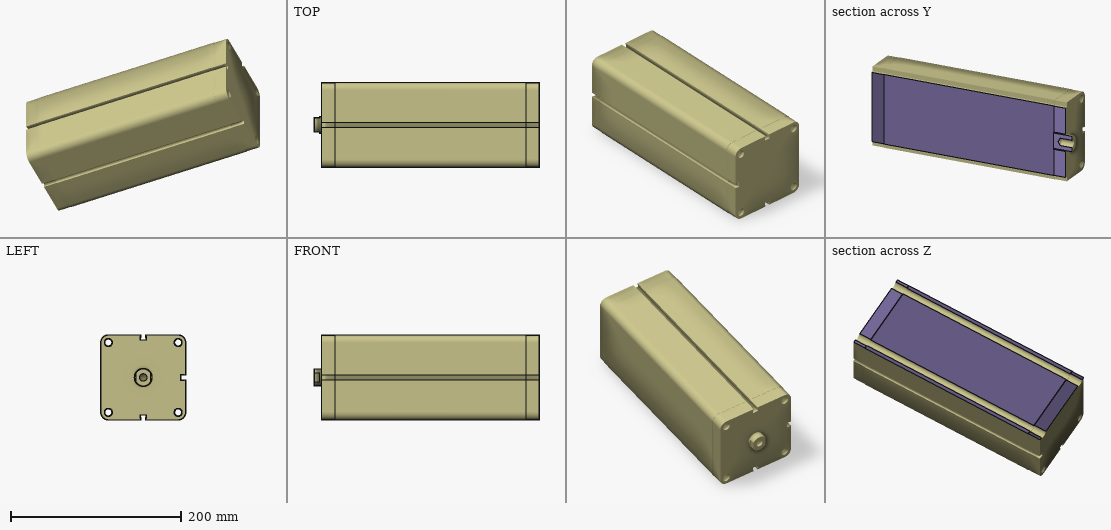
import cadquery as cq
import math

total_length = 264.5
barrel_side = 100.0
cap_side = 99.5
corner_radius = 9.0
cap_length = 16.0
rod_projection = 8.5
housing_length = total_length - rod_projection
barrel_length = housing_length - 2 * cap_length

barrel_start = cap_length
rear_cap_start = barrel_start + barrel_length

bolt_spacing = barrel_side - 2 * corner_radius
cap_bolt_diameter = 9.5
barrel_bolt_diameter = 8.2

slot_depth = 5.8
slot_mouth = 5.5
cap_slot_inner = 7.1
barrel_slot_inner = 6.0
cap_slot_lip = 1.9
barrel_slot_lip = 3.2

rod_diameter = 20.0
rod_bore_diameter = 21.2
rod_across_flats = 17.0
flat_length = 6.5
thread_hole_diameter = 8.7
thread_hole_depth = 16.0
drill_point_angle = 118


def square_block(start, length, width):
    """Square prism along X with rounded long edges."""
    return (
        cq.Workplane("YZ", origin=(start, 0, 0))
        .rect(width, width)
        .extrude(length)
        .edges("|X")
        .fillet(corner_radius)
    )


def bolt_holes(start, length, diameter):
    """Four corner holes along X."""
    return (
        cq.Workplane("YZ", origin=(start, 0, 0))
        .rect(bolt_spacing, bolt_spacing, forConstruction=True)
        .vertices()
        .circle(diameter / 2)
        .extrude(length)
    )


def side_slots(start, length, width, lip, inner_width):
    """Slots open to +Z, -Y and -Z, widening below the lip to inner_width."""
    inner_height = slot_depth - lip
    on_y_only = (False, True, False)
    mouth = cq.Workplane("XY").box(length, slot_mouth, slot_depth, centered=on_y_only)
    inner = cq.Workplane("XY").box(length, inner_width, inner_height, centered=on_y_only)
    slot = mouth.union(inner).translate((start, 0, width / 2 - slot_depth))
    slots = slot
    for angle in (90, 180):
        slots = slots.union(slot.rotate((0, 0, 0), (1, 0, 0), angle))
    return slots


def make_cap(start):
    """End cap with T-shaped slots."""
    return (
        square_block(start, cap_length, cap_side)
        .cut(bolt_holes(start, cap_length, cap_bolt_diameter))
        .cut(side_slots(start, cap_length, cap_side, cap_slot_lip, cap_slot_inner))
    )


def make_front_cap():
    """End cap with a clearance bore for the rod."""
    bore = cq.Workplane("YZ").circle(rod_bore_diameter / 2).extrude(cap_length)
    return make_cap(0).cut(bore)


def make_barrel():
    """Long middle section slightly larger than the caps, with T-shaped slots."""
    slots = side_slots(barrel_start, barrel_length, barrel_side, barrel_slot_lip, barrel_slot_inner)
    return (
        square_block(barrel_start, barrel_length, barrel_side)
        .cut(bolt_holes(barrel_start, barrel_length, barrel_bolt_diameter))
        .cut(slots)
    )


def drilled_hole(start):
    """Blind hole along X with a conical drill point."""
    radius = thread_hole_diameter / 2
    point_length = radius / math.tan(math.radians(drill_point_angle / 2))
    return (
        cq.Workplane("XY", origin=(start, 0, 0))
        .lineTo(0, radius)
        .lineTo(thread_hole_depth, radius)
        .lineTo(thread_hole_depth + point_length, 0)
        .close()
        .revolve(360, (0, 0, 0), (1, 0, 0))
    )


def make_rod():
    """Rod through the front cap, with two wrench flats and a drilled end."""
    tip = -rod_projection
    rod_length = rod_projection + cap_length
    rod = cq.Workplane("YZ", origin=(tip, 0, 0)).circle(rod_diameter / 2).extrude(rod_length)
    full = cq.Workplane("XY").box(flat_length, rod_diameter, rod_diameter)
    kept = cq.Workplane("XY").box(flat_length, rod_across_flats, rod_diameter)
    flat_cutter = full.cut(kept).translate((tip + flat_length / 2, 0, 0))
    rod = rod.cut(flat_cutter)
    return rod.cut(drilled_hole(tip))


front_cap = make_front_cap()
barrel = make_barrel()
rear_cap = make_cap(rear_cap_start)
rod = make_rod()

result = cq.Compound.makeCompound([front_cap.val(), barrel.val(), rear_cap.val(), rod.val()])